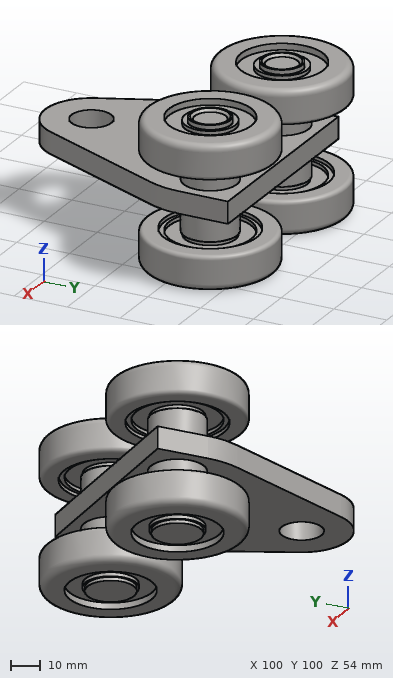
import cadquery as cq
import math

plate_thickness = 8.2
plate_half_width = 40.0
plate_back_y = 40.0
nose_radius = 17.5
nose_y = -32.5
eye_diameter = 15.0
shoulder_corner_y = 15.0
shoulder_radius = 30.0

axle_x = 26.0
axle_y = 26.0
wheel_diameter = 48.0
wheel_inner_z = 13.8
wheel_width = 12.9
outer_rim_fillet = 2.5
inner_rim_fillet = 1.5

bearing_diameter = 35.0
bearing_width = 11.0
seat_depth = 0.9
race_opening_diameter = 31.0
inner_ring_diameter = 19.0
shield_depth = 1.4
race_rounding = 1.0

axle_half_length = 27.0
spacer_diameter = 20.0
pin_diameter = 15.0
dimple_diameter = 13.6
dimple_depth = 1.0
head_diameter = 17.5

wheel_outer_z = wheel_inner_z + wheel_width
bearing_inner_z = wheel_inner_z + seat_depth
bearing_outer_z = bearing_inner_z + bearing_width


def disc(diameter, z_from, z_to):
    """Cylinder about the Z axis between two heights."""
    return cq.Workplane("XY").workplane(offset=z_from).circle(diameter / 2).extrude(z_to - z_from)


def hanger_plate():
    """Plate whose slanted sides run tangent into the round nose."""
    drop = shoulder_corner_y - nose_y
    corner_distance = math.hypot(plate_half_width, drop)
    slant = math.atan2(plate_half_width, drop) - math.asin(nose_radius / corner_distance)
    tangent_x = nose_radius * math.cos(slant)
    tangent_y = nose_y - nose_radius * math.sin(slant)

    plate = (
        cq.Workplane("XY")
        .workplane(offset=-plate_thickness / 2)
        .moveTo(-plate_half_width, plate_back_y)
        .lineTo(-plate_half_width, shoulder_corner_y)
        .lineTo(-tangent_x, tangent_y)
        .threePointArc((0, nose_y - nose_radius), (tangent_x, tangent_y))
        .lineTo(plate_half_width, shoulder_corner_y)
        .lineTo(plate_half_width, plate_back_y)
        .close()
        .extrude(plate_thickness)
    )
    for side in (-1, 1):
        shoulder = cq.NearestToPointSelector((side * plate_half_width, shoulder_corner_y, 0))
        plate = plate.edges("|Z").edges(shoulder).fillet(shoulder_radius)
    eye = disc(eye_diameter, -plate_thickness, plate_thickness).translate((0, nose_y, 0))
    return plate.cut(eye)


def bearing():
    """Upper ball bearing with shields recessed between its races, about the Z axis."""
    body = disc(bearing_diameter, bearing_inner_z, bearing_outer_z)
    body = body.faces("<Z").edges().fillet(race_rounding)
    body = body.cut(disc(pin_diameter, bearing_inner_z, bearing_outer_z))
    bore_mouth = cq.selectors.RadiusNthSelector(0)
    body = body.faces(">Z").edges(bore_mouth).fillet(race_rounding)

    shield_gap = (
        cq.Workplane("XY")
        .circle(race_opening_diameter / 2)
        .circle(inner_ring_diameter / 2)
        .extrude(shield_depth)
    )
    for gap_z in (bearing_inner_z, bearing_outer_z - shield_depth):
        body = body.cut(shield_gap.translate((0, 0, gap_z)))
    return body


def wheel():
    """Upper wheel with its bearing, about the Z axis."""
    body = disc(wheel_diameter, wheel_inner_z, wheel_outer_z)
    body = body.faces(">Z").edges().fillet(outer_rim_fillet)
    body = body.faces("<Z").edges().fillet(inner_rim_fillet)

    body = body.cut(disc(bearing_diameter, wheel_inner_z, bearing_outer_z))
    body = body.cut(disc(race_opening_diameter, bearing_outer_z, wheel_outer_z))
    return body.union(bearing())


def axle():
    """Pin with a thick spacer between the wheels, a dimpled upper end and a flat lower head."""
    pin = disc(pin_diameter, -axle_half_length, axle_half_length)
    spacer = disc(spacer_diameter, -bearing_inner_z, bearing_inner_z)
    head = disc(head_diameter, -axle_half_length, -bearing_outer_z + race_rounding)
    dimple = (
        cq.Workplane("XY")
        .workplane(offset=axle_half_length)
        .circle(dimple_diameter / 2)
        .workplane(offset=-dimple_depth)
        .circle(dimple_diameter / 2 - dimple_depth)
        .loft()
    )
    return pin.union(spacer).union(head).cut(dimple)


upper_wheel = wheel()
lower_wheel = upper_wheel.mirror("XY")
wheel_set = axle().union(upper_wheel).union(lower_wheel)

result = hanger_plate()
for side in (-1, 1):
    result = result.union(wheel_set.translate((side * axle_x, axle_y, 0)))